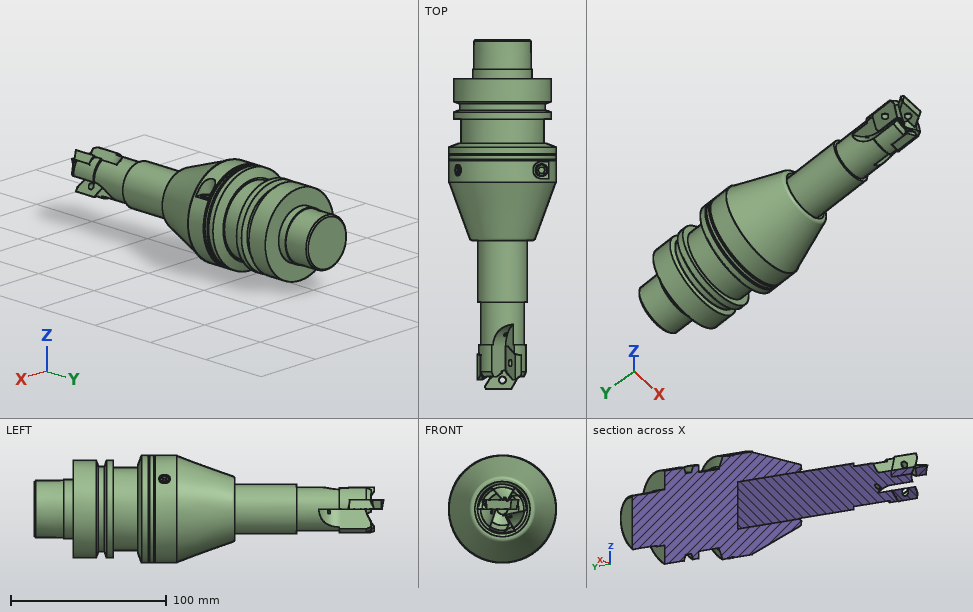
import cadquery as cq


SHANK_LENGTH = 25.0
SHANK_END_R = 18.5
SHANK_BASE_R = 18.65
SHANK_CHAMFER = 1.0
SHANK_COLLAR_R = 19.2
SHANK_COLLAR_LENGTH = 6.0
FLANGE_R = 31.5
FLANGE_END_Y = -26.0
GRIP_GROOVE_R = 27.6
GRIP_GROOVE_TOP_Y = -14.8
GRIP_GROOVE_BOTTOM_Y = -21.5
GRIP_GROOVE_SLOPE = 1.3
GRIP_GROOVE_LIP = 0.5
NECK_R = 26.8
CHUCK_R = 34.75
CHUCK_TOP_Y = -41.5
CHUCK_TOP_SLOPE = 2.6
CHUCK_TOP_R = 28.0
CHUCK_CONE_Y = -66.8
CHUCK_CONE_R = 34.4
NOSE_Y = -104.3
NOSE_R = 20.7
NOSE_FILLET = 2.2
NOSE_BORE_CHAMFER = 1.8
RING_GROOVES_Y = (-48.4, -51.8)
RING_GROOVE_WIDTH = 1.0
RING_GROOVE_DEPTH = 0.5
PORT_Y = -58.9

CLAMP_X = 25.2
CLAMP_FLAT_Z = 17.8
CLAMP_FLAT_R = 5.5
CLAMP_RING_R = 4.0
CLAMP_RING_WIDTH = 0.6
CLAMP_RING_DEPTH = 1.0
CLAMP_SOCKET_ACROSS_CORNERS = 4.6
CLAMP_SOCKET_DEPTH = 3.0

PORT_ANGLE = 146.0
PORT_R = 3.0
PORT_COUNTERSINK = 0.6
PORT_DEPTH = 2.0
PORT_SOCKET_ACROSS_CORNERS = 3.4
PORT_SOCKET_DEPTH = 3.0

CUTTER_SHANK_R = 16.0
CUTTER_TOP_Y = -56.0
CUTTER_SHOULDER_Y = -144.0
CUTTER_NECK_R = 14.1
CUTTER_HEAD_Y = -171.5
CUTTER_HEAD_R = 15.3
CUTTER_END_Y = -192.0
CUTTER_END_CHAMFER = (3.0, 1.5)
END_RECESS_R = 10.5
END_RECESS_INNER_R = 3.4
END_RECESS_DEPTH = 4.2

FLUTE_ANGLES = (180.0, 60.0, -60.0)
FLUTE_ROOT = 4.2
FLUTE_FLOOR_TILT = 18.0
FLUTE_RUNOUT_R = 15.5
FLUTE_RUNOUT_Y = -172.4
FLUTE_CLEARANCE = 40.0
COOLANT_HOLE_R = 1.0
COOLANT_HOLE_RADIAL = 6.5
COOLANT_HOLE_OFFSET = 1.9
COOLANT_HOLE_Y = -164.5
COOLANT_HOLE_DEPTH = 6.0

INSERT_THICKNESS = 6.0
INSERT_HOLE_R = 2.2
SIDE_INSERT_HOLE = (10.0, -183.2)
SIDE_INSERT_RAKE = [
    (16.35, -177.7),
    (16.35, -194.1),
    (13.2, -194.1),
    (3.65, -188.2),
    (3.65, -172.4),
    (6.8, -172.4),
]
SIDE_INSERT_BACK = [
    (14.15, -178.3),
    (14.15, -191.3),
    (12.4, -191.3),
    (4.7, -186.5),
    (4.7, -174.0),
    (6.3, -174.0),
]
CENTRE_INSERT_RELIEF_ANGLE = 10.0
CENTRE_INSERT_HOLE_Y = -194.2
TIP_Y = -200.1


def around_axis(solid, angle):
    """Turn a shape about the tool axis, counter-clockwise as met from the cutting end."""
    return solid.rotate((0, 0, 0), (0, 1, 0), -angle)


def make_clamp_pocket():
    """Round-ended flat open towards +X, with a ring and a hexagon socket of its screw."""
    plane = cq.Workplane("XY", origin=(CLAMP_X, PORT_Y, CLAMP_FLAT_Z))
    height = CHUCK_R - CLAMP_FLAT_Z
    pocket = plane.circle(CLAMP_FLAT_R).extrude(height)
    opening = plane.center(CLAMP_FLAT_R, 0).rect(2 * CLAMP_FLAT_R, 2 * CLAMP_FLAT_R).extrude(height)
    ring = plane.circle(CLAMP_RING_R).circle(CLAMP_RING_R - CLAMP_RING_WIDTH).extrude(-CLAMP_RING_DEPTH)
    socket = plane.polygon(6, CLAMP_SOCKET_ACROSS_CORNERS).extrude(-CLAMP_SOCKET_DEPTH)
    return pocket.union(opening).union(ring).union(socket)


def make_port():
    """Countersunk blind hole with a hexagon socket in its floor, first built along +X."""
    plane = cq.Workplane("YZ", origin=(CHUCK_R - PORT_DEPTH, PORT_Y, 0))
    hole = plane.circle(PORT_R).extrude(2 * PORT_DEPTH)
    countersink = (
        cq.Workplane("YZ", origin=(CHUCK_R, PORT_Y, 0))
        .circle(PORT_R + PORT_COUNTERSINK)
        .workplane(offset=-PORT_COUNTERSINK)
        .circle(PORT_R)
        .loft()
    )
    socket = plane.polygon(6, PORT_SOCKET_ACROSS_CORNERS).extrude(-PORT_SOCKET_DEPTH)
    return around_axis(hole.union(countersink).union(socket), PORT_ANGLE)


def make_holder():
    outline = [
        (0, SHANK_LENGTH),
        (SHANK_END_R - SHANK_CHAMFER, SHANK_LENGTH),
        (SHANK_END_R, SHANK_LENGTH - SHANK_CHAMFER),
        (SHANK_BASE_R, SHANK_COLLAR_LENGTH),
        (SHANK_COLLAR_R, SHANK_COLLAR_LENGTH),
        (SHANK_COLLAR_R, 0),
        (FLANGE_R, 0),
        (FLANGE_R, GRIP_GROOVE_TOP_Y),
        (GRIP_GROOVE_R + GRIP_GROOVE_LIP, GRIP_GROOVE_TOP_Y - GRIP_GROOVE_SLOPE),
        (GRIP_GROOVE_R, GRIP_GROOVE_TOP_Y - GRIP_GROOVE_SLOPE),
        (GRIP_GROOVE_R, GRIP_GROOVE_BOTTOM_Y + GRIP_GROOVE_SLOPE),
        (FLANGE_R, GRIP_GROOVE_BOTTOM_Y),
        (FLANGE_R, FLANGE_END_Y),
        (NECK_R, FLANGE_END_Y),
        (NECK_R, CHUCK_TOP_Y),
        (CHUCK_TOP_R, CHUCK_TOP_Y),
        (CHUCK_R, CHUCK_TOP_Y - CHUCK_TOP_SLOPE),
        (CHUCK_R, CHUCK_CONE_Y),
        (CHUCK_CONE_R, CHUCK_CONE_Y),
        (NOSE_R, NOSE_Y),
        (0, NOSE_Y),
    ]
    holder = cq.Workplane("XY").polyline(outline).close().revolve(360, (0, 0, 0), (0, 1, 0))
    holder = holder.faces("<Y").edges().fillet(NOSE_FILLET)

    bore = cq.Workplane("XZ", origin=(0, CUTTER_TOP_Y, 0)).circle(CUTTER_SHANK_R)
    holder = holder.cut(bore.extrude(CUTTER_TOP_Y - NOSE_Y))
    holder = holder.faces("<Y").edges(cq.selectors.RadiusNthSelector(0))
    holder = holder.chamfer(NOSE_BORE_CHAMFER)

    for groove_y in RING_GROOVES_Y:
        groove = (
            cq.Workplane("XZ", origin=(0, groove_y, 0))
            .circle(CHUCK_R + RING_GROOVE_DEPTH)
            .circle(CHUCK_R - RING_GROOVE_DEPTH)
            .extrude(RING_GROOVE_WIDTH)
        )
        holder = holder.cut(groove)
    return holder.cut(make_clamp_pocket()).cut(make_port())


def make_flute():
    """Flute whose rake wall is the half plane Z = 0, X > 0, with its open side at Z > 0."""
    runout_end_y = FLUTE_RUNOUT_Y + FLUTE_RUNOUT_R
    profile = (
        cq.Workplane("XY")
        .moveTo(0, CUTTER_END_Y - FLUTE_CLEARANCE)
        .lineTo(0, FLUTE_RUNOUT_Y)
        .radiusArc((FLUTE_RUNOUT_R, runout_end_y), FLUTE_RUNOUT_R)
        .lineTo(FLUTE_CLEARANCE, runout_end_y)
        .lineTo(FLUTE_CLEARANCE, CUTTER_END_Y - FLUTE_CLEARANCE)
        .close()
        .extrude(FLUTE_CLEARANCE, both=True)
        .rotate((0, 0, 0), (0, 1, 0), FLUTE_FLOOR_TILT)
        .translate((FLUTE_ROOT, 0, 0))
    )
    half_space_size = 4 * FLUTE_CLEARANCE
    half_space = cq.Workplane("XY", origin=(0, CUTTER_END_Y, 0)).rect(half_space_size, half_space_size)
    return profile.intersect(half_space.extrude(FLUTE_CLEARANCE))


def make_coolant_hole():
    """Blind hole from the flute run-out, slanting back towards the tool axis."""
    mouth = (COOLANT_HOLE_RADIAL, COOLANT_HOLE_Y, COOLANT_HOLE_OFFSET)
    plane = cq.Plane(origin=mouth, xDir=(0, 0, 1), normal=(-1, 1, 0))
    outward = -2 * COOLANT_HOLE_R
    drill = cq.Workplane(plane).workplane(offset=outward).circle(COOLANT_HOLE_R)
    return drill.extrude(COOLANT_HOLE_DEPTH - outward)


def make_side_insert():
    """Side insert with its rake face in the rake wall of make_flute, relieved towards -Z.

    Returns the solid blank, which also shapes the pocket, and the insert with its screw hole.
    """
    rake = cq.Workplane("XY").polyline(SIDE_INSERT_RAKE).close()
    back = rake.workplane(offset=-INSERT_THICKNESS).polyline(SIDE_INSERT_BACK).close()
    blank = back.loft(ruled=True)
    hole = cq.Workplane("XY").center(*SIDE_INSERT_HOLE).circle(INSERT_HOLE_R).extrude(-INSERT_THICKNESS)
    return blank, blank.cut(hole)


def make_centre_insert():
    """Insert across the tool axis with its rake face up, relieved towards Z = 0.

    Returns the solid blank, which also shapes the pocket, and the insert with its screw hole.
    """
    outline = [
        (-11.5, -198.5),
        (-10.6, TIP_Y),
        (5.7, TIP_Y),
        (10.5, -191.6),
        (9.6, -190.6),
        (3.3, -190.6),
        (2.0, -187.9),
        (0.8, -187.9),
        (-7.9, -192.8),
    ]
    plane = cq.Workplane("XY", origin=(0, 0, INSERT_THICKNESS))
    blank = plane.polyline(outline).close().extrude(-INSERT_THICKNESS, taper=CENTRE_INSERT_RELIEF_ANGLE)
    hole = plane.center(0, CENTRE_INSERT_HOLE_Y).circle(INSERT_HOLE_R).extrude(-INSERT_THICKNESS)
    return blank, blank.cut(hole)


def make_cutter(insert_blanks):
    chamfer_length, chamfer_depth = CUTTER_END_CHAMFER
    outline = [
        (0, CUTTER_TOP_Y),
        (CUTTER_SHANK_R, CUTTER_TOP_Y),
        (CUTTER_SHANK_R, CUTTER_SHOULDER_Y),
        (CUTTER_NECK_R, CUTTER_SHOULDER_Y),
        (CUTTER_NECK_R, CUTTER_HEAD_Y),
        (CUTTER_HEAD_R, CUTTER_HEAD_Y),
        (CUTTER_HEAD_R, CUTTER_END_Y + chamfer_length),
        (CUTTER_HEAD_R - chamfer_depth, CUTTER_END_Y),
        (END_RECESS_R, CUTTER_END_Y),
        (END_RECESS_INNER_R, CUTTER_END_Y + END_RECESS_DEPTH),
        (0, CUTTER_END_Y + END_RECESS_DEPTH),
    ]
    cutter = cq.Workplane("XY").polyline(outline).close().revolve(360, (0, 0, 0), (0, 1, 0))
    for angle in FLUTE_ANGLES:
        cutter = cutter.cut(around_axis(make_flute(), angle))
        cutter = cutter.cut(around_axis(make_coolant_hole(), angle))
    for blank in insert_blanks:
        cutter = cutter.cut(blank)
    return cutter


side_blank, side_insert = make_side_insert()
centre_blank, centre_insert = make_centre_insert()
side_blanks = [around_axis(side_blank, angle) for angle in FLUTE_ANGLES]
side_inserts = [around_axis(side_insert, angle) for angle in FLUTE_ANGLES]

holder = make_holder()
cutter = make_cutter([centre_blank, *side_blanks])

result = cq.Compound.makeCompound(
    [holder.val(), cutter.val(), centre_insert.val(), *[insert.val() for insert in side_inserts]]
)